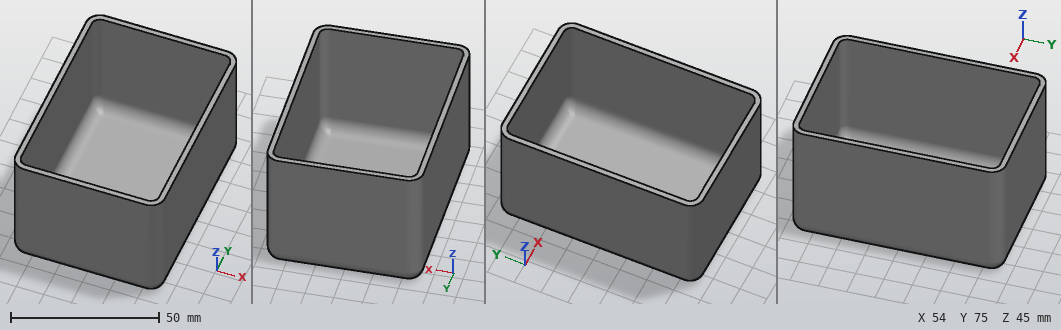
import cadquery as cq

width = 54.0
length = 75.0
height = 45.0
outer_radius = 5.0

wall = 2.0
floor = wall
corner_radius = outer_radius - wall
floor_radius = 5.0


def rounded_block(x_size, y_size, z_size, side_radius, bottom_radius):
    """Block standing on Z = 0 with rounded upright edges and a rounded bottom rim."""
    block = cq.Workplane("XY").box(x_size, y_size, z_size, centered=(True, True, False))
    if side_radius == bottom_radius:
        return block.edges("|Z or <Z").fillet(side_radius)
    return block.edges("<Z").fillet(bottom_radius).edges("|Z").fillet(side_radius)


outer = rounded_block(width, length, height, outer_radius, outer_radius)
cavity = rounded_block(
    width - 2 * wall, length - 2 * wall, height - floor, corner_radius, floor_radius
).translate((0, 0, floor))

result = outer.cut(cavity)